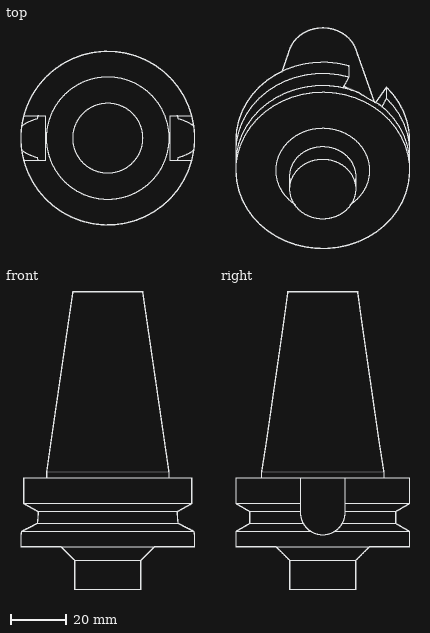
import cadquery as cq
import math


gauge_diameter = 44.45
taper_ratio = 7 / 24
taper_length = 65.4
taper_end_diameter = gauge_diameter - taper_ratio * taper_length

flange_diameter = 63.0
flange_top = -2.0
flange_thickness = 25.0
flange_bottom = flange_top - flange_thickness
groove_center = -16.4
groove_width = 10.0
groove_floor_diameter = 53.0
groove_flank_angle = 30.0

overall_length = 107.9
nose_diameter = 24.0
nose_cone_diameter = 34.0
nose_cone_height = (nose_cone_diameter - nose_diameter) / 2
nose_end = taper_length - overall_length

slot_width = 16.1
slot_floor_offset = 22.5
slot_bottom = -22.7


def make_body():
    """Revolve the half profile of the taper, grooved flange and nose."""
    groove_depth = (flange_diameter - groove_floor_diameter) / 2
    flank_height = groove_depth * math.tan(math.radians(groove_flank_angle))
    groove_top = groove_center + groove_width / 2
    groove_bottom = groove_center - groove_width / 2
    profile = (
        cq.Workplane("XZ")
        .moveTo(0, taper_length)
        .lineTo(taper_end_diameter / 2, taper_length)
        .lineTo(gauge_diameter / 2, 0)
        .lineTo(gauge_diameter / 2, flange_top)
        .lineTo(flange_diameter / 2, flange_top)
        .lineTo(flange_diameter / 2, groove_top)
        .lineTo(groove_floor_diameter / 2, groove_top - flank_height)
        .lineTo(groove_floor_diameter / 2, groove_bottom + flank_height)
        .lineTo(flange_diameter / 2, groove_bottom)
        .lineTo(flange_diameter / 2, flange_bottom)
        .lineTo(nose_cone_diameter / 2, flange_bottom)
        .lineTo(nose_diameter / 2, flange_bottom - nose_cone_height)
        .lineTo(nose_diameter / 2, nose_end)
        .lineTo(0, nose_end)
        .close()
    )
    return profile.revolve(360, (0, 0, 0), (0, 1, 0))


def make_slot_cutter():
    """Round-bottomed slot, open at the flange top, on the +X side."""
    half_width = slot_width / 2
    arc_center = slot_bottom + half_width
    return (
        cq.Workplane("YZ", origin=(slot_floor_offset, 0, 0))
        .moveTo(-half_width, flange_top)
        .lineTo(-half_width, arc_center)
        .threePointArc((0, slot_bottom), (half_width, arc_center))
        .lineTo(half_width, flange_top)
        .close()
        .extrude(flange_diameter / 2)
    )


result = make_body()
for side_angle in (0, 180):
    result = result.cut(make_slot_cutter().rotate((0, 0, 0), (0, 0, 1), side_angle))